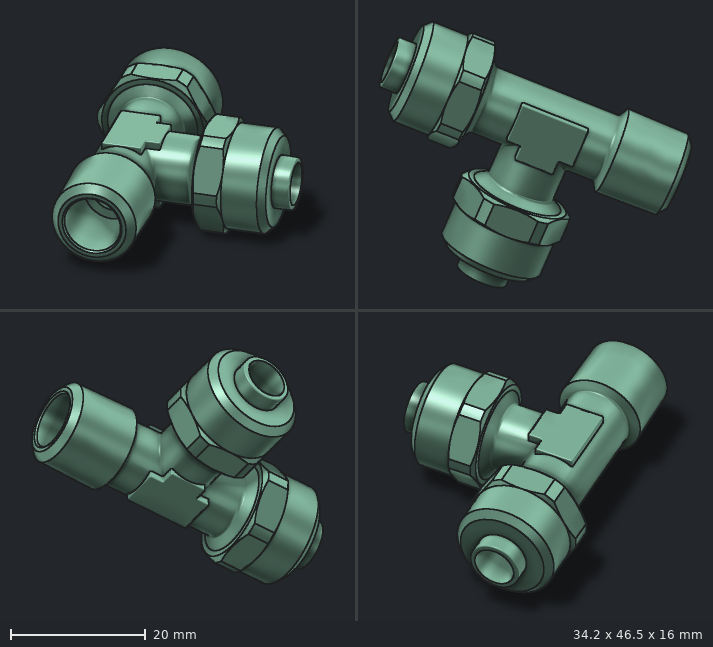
import cadquery as cq
import math


body_radius = 5.25
bore_radius = 3.2
cone_root_fillet = 0.45
crotch_fillet = 0.33

hex_start = 11.62
hex_end = 16.15
sleeve_end = 22.8
tube_end = 25.5
across_flats = 16.0
hex_corner_radius = 8.75
hex_face_radius = 7.85
hex_chamfer_angle = 30.0
shoulder_radius = 6.98
shoulder_angle = 54.0
sleeve_radius = across_flats / 2
sleeve_chamfer = 1.1
tube_radius = 4.0
tube_edge_fillet = 0.25

thread_end = -21.0
collar_angle = 60.0
thread_start = -10.3
thread_start_radius = 6.7
thread_end_radius = 6.5
thread_tip_radius = 5.25
thread_chamfer_length = 1.05
socket_radius = 4.32
socket_mouth_chamfer = 0.3
socket_depth = thread_start - thread_end
socket_cone_angle = 60.0

pad_height = 5.55
pad_half_width = 3.05
pad_half_length = 5.35
pad_arm_end = 5.35
pad_corner_fillet = 0.25
pad_rim_fillet = 0.25


def slope_run(rise, angle):
    """Axial length of a cone that climbs `rise` at `angle` from its axis."""
    return rise / math.tan(math.radians(angle))


def revolve_about_y(points):
    """Solid of revolution from (radius, y) points."""
    return cq.Workplane("XY").polyline(points).close().revolve(360, (0, 0, 0), (0, 1, 0))


def toward_branch(solid):
    """Turn a solid built along +Y so that it lies along +X."""
    return solid.rotate((0, 0, 0), (0, 0, 1), -90)


def fillet_circle_at(solid, y, radius):
    """Fillet the circular edge centred on the Y axis at `y`."""
    return solid.edges(cq.selectors.NearestToPointSelector((0, y, 0))).fillet(radius)


def make_hexagon():
    across_corners = across_flats / math.cos(math.radians(30))
    prism = (
        cq.Workplane("XZ", origin=(0, hex_start, 0))
        .polygon(6, across_corners)
        .extrude(hex_start - hex_end)
    )
    slope = math.tan(math.radians(hex_chamfer_angle))
    start_drop = (hex_corner_radius - hex_face_radius) * slope
    end_drop = (hex_corner_radius - sleeve_radius) * slope
    turned_envelope = revolve_about_y([
        (0, hex_start),
        (hex_face_radius, hex_start),
        (hex_corner_radius, hex_start + start_drop),
        (hex_corner_radius, hex_end - end_drop),
        (sleeve_radius, hex_end),
        (0, hex_end),
    ])
    return prism.intersect(turned_envelope)


def make_shoulder():
    """Body stretch from the tee centre that flares out to the hexagon."""
    cone_start = hex_start - slope_run(shoulder_radius - body_radius, shoulder_angle)
    shoulder = revolve_about_y([
        (0, 0),
        (body_radius, 0),
        (body_radius, cone_start),
        (shoulder_radius, hex_start),
        (0, hex_start),
    ])
    return fillet_circle_at(shoulder, cone_start, cone_root_fillet)


def make_sleeve_and_tube():
    end = revolve_about_y([
        (0, hex_end),
        (sleeve_radius, hex_end),
        (sleeve_radius, sleeve_end - sleeve_chamfer),
        (sleeve_radius - sleeve_chamfer, sleeve_end),
        (tube_radius, sleeve_end),
        (tube_radius, tube_end),
        (0, tube_end),
    ])
    return fillet_circle_at(end, tube_end, tube_edge_fillet)


def make_thread_end():
    cone_end = thread_start + slope_run(thread_start_radius - body_radius, collar_angle)
    thread = revolve_about_y([
        (0, 0),
        (body_radius, 0),
        (body_radius, cone_end),
        (thread_start_radius, thread_start),
        (thread_end_radius, thread_end + thread_chamfer_length),
        (thread_tip_radius, thread_end),
        (0, thread_end),
    ])
    return fillet_circle_at(thread, cone_end, cone_root_fillet)


def make_pads():
    """One block through the body whose two ends are the T-shaped pads."""
    pad = (
        cq.Workplane("XY", origin=(0, 0, -pad_height))
        .rect(2 * pad_half_width, 2 * pad_half_length)
        .extrude(2 * pad_height)
        .union(
            cq.Workplane("XY", origin=(pad_arm_end / 2, 0, -pad_height))
            .rect(pad_arm_end, 2 * pad_half_width)
            .extrude(2 * pad_height)
        )
    )
    pad = pad.edges("|Z").fillet(pad_corner_fillet)
    return pad.faces("|Z").edges().fillet(pad_rim_fillet)


def make_run_bore():
    socket_bottom = thread_end + socket_depth
    cone_length = slope_run(socket_radius - bore_radius, socket_cone_angle)
    mouth_radius = socket_radius + socket_mouth_chamfer
    return revolve_about_y([
        (0, thread_end),
        (mouth_radius, thread_end),
        (socket_radius, thread_end + socket_mouth_chamfer),
        (socket_radius, socket_bottom),
        (bore_radius, socket_bottom + cone_length),
        (bore_radius, tube_end),
        (0, tube_end),
    ])


branch_bore = cq.Workplane("YZ").circle(bore_radius).extrude(tube_end)

core = make_thread_end().union(make_shoulder()).union(toward_branch(make_shoulder()))
core = core.edges("%ELLIPSE").fillet(crotch_fillet)

compression_end = make_hexagon().union(make_sleeve_and_tube())
result = (
    core.union(compression_end)
    .union(toward_branch(compression_end))
    .union(make_pads())
    .cut(make_run_bore())
    .cut(branch_bore)
)